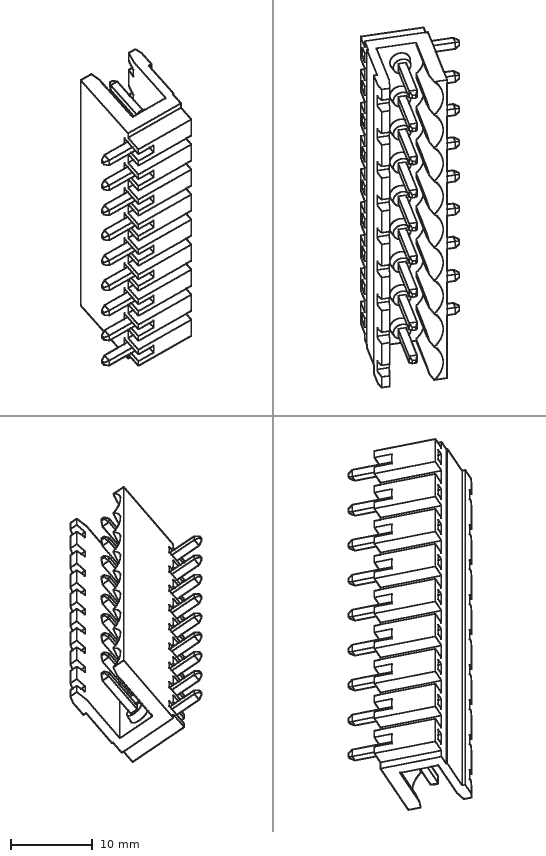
import cadquery as cq


pin_count = 9
length = 45.7
pitch = length / pin_count
pin_heights = [(i + 0.5) * pitch for i in range(pin_count)]

depth = 12.2
body_thickness = 7.95
floor_x = 8.28
front_wall_inner = 1.9
back_wall_inner = 6.9
back_wall_outer = 8.1

latch_length = 3.0
latch_outer = 8.5
latch_tip_outer = 8.25
latch_ramp = 0.9
lead_in_length = 1.6
lead_in_offset = 0.3
latch_notch_depth = 1.33
latch_notch_floor_height = 1.33
latch_notch_mouth_height = 1.8

pin_width = 1.0
pin_tip_width = 0.45
pin_tip_length = 0.6
pin_axis_y = 3.95
contact_tip_x = 0.9
solder_axis_x = 10.3
solder_tip_y = -4.0

collar_length = 1.05
collar_base_radius = 1.3
collar_top_radius = 1.1

scallop_mouth_radius = 3.45
scallop_radius = 3.0
scallop_taper_length = 2.75

tooth_root_x = 10.0
tooth_height = 3.3
slot_height = 1.35
slot_start_x = 9.2
slot_depth = 2.3
rear_bar_x = 11.2


def block(x_range, y_range, z_range):
    """Box between the given limits on each axis."""
    limits = (x_range, y_range, z_range)
    sizes = [high - low for low, high in limits]
    corner = tuple(low for low, high in limits)
    return cq.Workplane("XY").box(*sizes, centered=False).translate(corner)


def centred_on(z, height):
    return (z - height / 2, z + height / 2)


def housing():
    """U-shaped section extruded along the whole row."""
    return (
        cq.Workplane("XY")
        .moveTo(0, 0)
        .lineTo(depth, 0)
        .lineTo(depth, body_thickness)
        .lineTo(floor_x, body_thickness)
        .lineTo(floor_x, back_wall_outer)
        .lineTo(latch_length, back_wall_outer)
        .lineTo(latch_length, latch_outer)
        .lineTo(latch_ramp, latch_outer)
        .lineTo(0, latch_tip_outer)
        .lineTo(0, back_wall_inner + lead_in_offset)
        .lineTo(lead_in_length, back_wall_inner)
        .lineTo(floor_x, back_wall_inner)
        .lineTo(floor_x, front_wall_inner)
        .lineTo(0, front_wall_inner)
        .close()
        .extrude(length)
    )


def scallop(z):
    """Round socket with a tapered mouth, kept to the front half."""
    socket = (
        cq.Workplane("XY")
        .moveTo(0, pin_axis_y)
        .lineTo(0, pin_axis_y - scallop_mouth_radius)
        .lineTo(scallop_taper_length, pin_axis_y - scallop_radius)
        .lineTo(floor_x, pin_axis_y - scallop_radius)
        .lineTo(floor_x, pin_axis_y)
        .close()
        .revolve(360, (0, pin_axis_y), (1, pin_axis_y))
        .translate((0, 0, z))
    )
    front_half = block((0, floor_x), (0, pin_axis_y), centred_on(z, 2 * scallop_mouth_radius))
    return socket.intersect(front_half)


def latch_notch(z):
    """Notch through the back wall lip, narrowing away from the mouth."""
    half_mouth = latch_notch_mouth_height / 2
    half_floor = latch_notch_floor_height / 2
    outline = [
        (0, z - half_mouth),
        (latch_notch_depth, z - half_floor),
        (latch_notch_depth, z + half_floor),
        (0, z + half_mouth),
    ]
    return (
        cq.Workplane("XZ", origin=(0, latch_outer, 0))
        .polyline(outline)
        .close()
        .extrude(latch_outer - pin_axis_y)
    )


def tooth_gap(z):
    """Gap between neighbouring rear teeth, through the full thickness."""
    return block((tooth_root_x, depth), (0, body_thickness), centred_on(z, pitch - tooth_height))


def solder_slot(z):
    """Slot for the solder pin, with a window behind it that leaves a bar at the rear."""
    heights = centred_on(z, slot_height)
    slot = block((slot_start_x, depth), (0, slot_depth), heights)
    window = block((tooth_root_x, rear_bar_x), (0, body_thickness), heights)
    return slot.union(window)


def collar(z):
    collar_start_x = floor_x - collar_length
    return (
        cq.Workplane("XY")
        .moveTo(collar_start_x, 0)
        .lineTo(collar_start_x, collar_top_radius)
        .lineTo(floor_x, collar_base_radius)
        .lineTo(floor_x, 0)
        .close()
        .revolve(360, (0, 0), (1, 0))
        .translate((0, pin_axis_y, z))
    )


def pointed_bar(plane, bar_length):
    """Square bar from the plane origin along its normal, ending in a blunt point."""
    shank_length = bar_length - pin_tip_length
    shank = cq.Workplane(plane).rect(pin_width, pin_width).extrude(shank_length)
    point = (
        cq.Workplane(plane)
        .workplane(offset=shank_length)
        .rect(pin_width, pin_width)
        .workplane(offset=pin_tip_length)
        .rect(pin_tip_width, pin_tip_width)
        .loft(combine=True)
    )
    return shank.union(point)


def bent_pin(z):
    """Contact leg along -X and solder leg along -Y, meeting in a square corner."""
    contact_start_x = solder_axis_x + pin_width / 2
    solder_start_y = pin_axis_y + pin_width / 2
    contact_plane = cq.Plane((contact_start_x, pin_axis_y, z), (0, 1, 0), (-1, 0, 0))
    solder_plane = cq.Plane((solder_axis_x, solder_start_y, z), (1, 0, 0), (0, -1, 0))
    contact_leg = pointed_bar(contact_plane, contact_start_x - contact_tip_x)
    solder_leg = pointed_bar(solder_plane, solder_start_y - solder_tip_y)
    return contact_leg.union(solder_leg)


result = housing()

for z in pin_heights:
    result = result.cut(scallop(z)).cut(latch_notch(z)).cut(solder_slot(z))

for i in range(pin_count + 1):
    result = result.cut(tooth_gap(i * pitch))

for z in pin_heights:
    result = result.union(collar(z)).union(bent_pin(z))